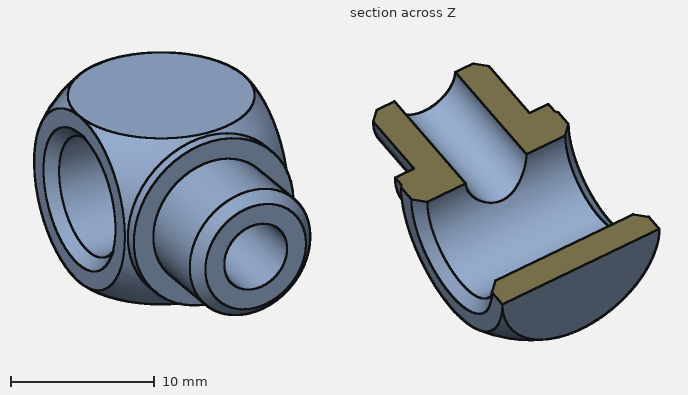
import cadquery as cq
import math

total_length = 20.0
body_side = 13.0
rounding_diameter = 18.38

flange_diameter = 12.7
flange_end = 14.0
stem_diameter = 9.6
stem_chamfer = 0.8

cross_bore_diameter = 8.7
cross_bore_chamfer = 0.8
stem_bore_diameter = 5.0

body_center = body_side / 2
flange_offset = math.sqrt(rounding_diameter**2 - flange_diameter**2) / 2
flange_start = body_center + flange_offset


def cylinder_along_x(diameter, start, end):
    return cq.Workplane("YZ", origin=(start, 0, 0)).circle(diameter / 2).extrude(end - start)


def rounded_body():
    bar = cq.Workplane("XY").box(flange_start, body_side, body_side, centered=(False, True, True))
    sphere = cq.Workplane("XY", origin=(body_center, 0, 0)).sphere(rounding_diameter / 2)
    return bar.intersect(sphere)


def chamfered_stem():
    stem = cylinder_along_x(stem_diameter, body_center, total_length)
    return stem.faces(">X").chamfer(stem_chamfer)


def cross_bore():
    """Through bore along Y, widened by a 45 degree chamfer at both mouths."""
    half_length = body_side / 2
    bore_radius = cross_bore_diameter / 2
    mouth_radius = bore_radius + cross_bore_chamfer
    chamfer_start = half_length - cross_bore_chamfer
    profile = [
        (0, -half_length),
        (mouth_radius, -half_length),
        (bore_radius, -chamfer_start),
        (bore_radius, chamfer_start),
        (mouth_radius, half_length),
        (0, half_length),
    ]
    cutter = cq.Workplane("XY").polyline(profile).close().revolve(360, (0, 0, 0), (0, 1, 0))
    return cutter.translate((body_center, 0, 0))


flange = cylinder_along_x(flange_diameter, body_center, flange_end)
stem_bore = cylinder_along_x(stem_bore_diameter, body_center, total_length)

result = rounded_body().union(flange).union(chamfered_stem()).cut(cross_bore()).cut(stem_bore)